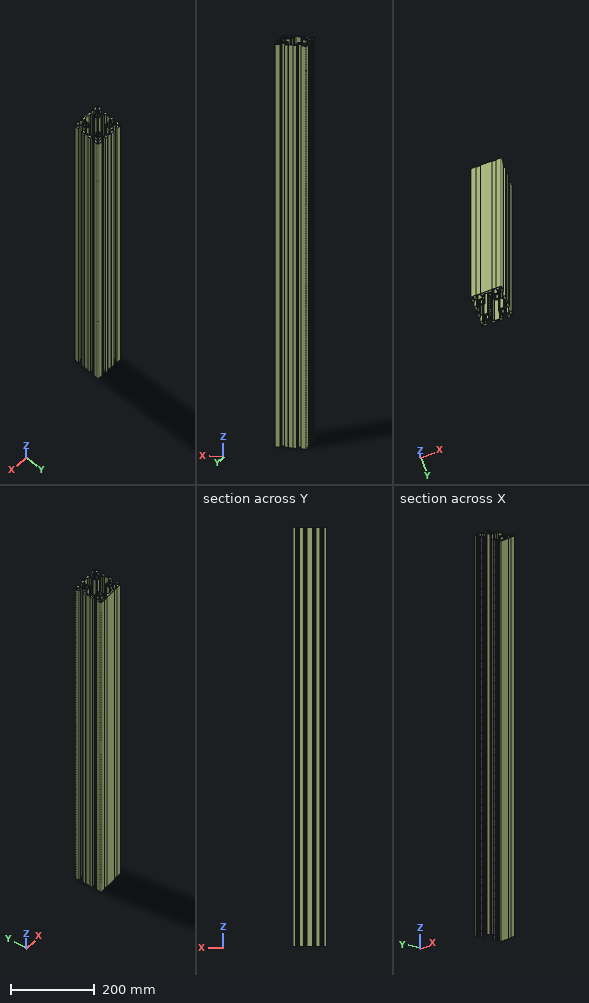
import cadquery as cq
WIDTH = 80.0
LENGTH = 1000.0
HALF = WIDTH / 2
CORNER_RADIUS = 3.0

SLOT_OFFSET = 20.0
SLOT_MOUTH = 11.0
LIP_THICKNESS = 6.2
SLOT_ROOF_WIDTH = 18.8
ROOF_DROP = 0.4
SLOT_INNER_WIDTH = 21.1
SLOT_STRAIGHT_DEPTH = 8.6
SLOT_DEPTH = 12.3
SLOT_FLOOR_WIDTH = 12.4

SKIN_THICKNESS = 1.7

GROOVE_WIDTH = 12.0
GROOVE_FLOOR_WIDTH = 11.3
GROOVE_DEPTH = 1.3

CAVITY_ARM_HALF = 11.9
CAVITY_TAPER_START = 28.3
CAVITY_REACH = 35.4
CAVITY_END_HALF = 6.1
CORE_BEVEL = 2.5

CORE_HOLE_DIAMETER = 10.2
NOTCH_REACH = 7.7
NOTCH_WIDTH = 2.4
NOTCH_ANGLES = (45, 135)
CORNER_CAVITY_OFFSET = 35.2
CORNER_CAVITY_SIZE = 3.5

OPEN_SIDES = (0, 90, 270)
CLOSED_SIDE = 180
ALL_SIDES = (0, 90, 180, 270)


def prism(points):
    """Full-length prism from a closed outline in the XY plane."""
    return cq.Workplane("XY").polyline(points).close().extrude(LENGTH)


def box(x_center, y_center, x_size, y_size):
    """Full-length rectangular bar."""
    return cq.Workplane("XY").center(x_center, y_center).rect(x_size, y_size).extrude(LENGTH)


def turned(shape, angle):
    """Turn a shape about the Z axis."""
    return shape.rotate((0, 0, 0), (0, 0, 1), angle)


def grid(offset):
    """Four points placed symmetrically about both axes."""
    return [(x, y) for x in (-offset, offset) for y in (-offset, offset)]


def slot_chamber(x_center):
    """Wide part of a slot behind the lips, tapering to its floor."""
    roof = SLOT_ROOF_WIDTH / 2
    inner = SLOT_INNER_WIDTH / 2
    floor = SLOT_FLOOR_WIDTH / 2
    return prism([
        (x_center - roof, HALF - LIP_THICKNESS),
        (x_center + roof, HALF - LIP_THICKNESS),
        (x_center + inner, HALF - LIP_THICKNESS - ROOF_DROP),
        (x_center + inner, HALF - SLOT_STRAIGHT_DEPTH),
        (x_center + floor, HALF - SLOT_DEPTH),
        (x_center - floor, HALF - SLOT_DEPTH),
        (x_center - inner, HALF - SLOT_STRAIGHT_DEPTH),
        (x_center - inner, HALF - LIP_THICKNESS - ROOF_DROP),
    ])


def slot(x_center, mouth_start):
    """T-slot whose mouth starts at the given depth below the side."""
    mouth_length = SLOT_DEPTH - mouth_start
    mouth = box(x_center, HALF - mouth_start - mouth_length / 2, SLOT_MOUTH, mouth_length)
    return slot_chamber(x_center).union(mouth)


def groove():
    """Shallow groove along the middle of a side."""
    mouth = GROOVE_WIDTH / 2
    floor = GROOVE_FLOOR_WIDTH / 2
    return prism([
        (-mouth, HALF),
        (mouth, HALF),
        (floor, HALF - GROOVE_DEPTH),
        (-floor, HALF - GROOVE_DEPTH),
    ])


def cavity_arm():
    """One arm of the central cavity, narrowing towards the side wall."""
    return prism([
        (-CAVITY_ARM_HALF, 0),
        (CAVITY_ARM_HALF, 0),
        (CAVITY_ARM_HALF, CAVITY_TAPER_START),
        (CAVITY_END_HALF, CAVITY_REACH),
        (-CAVITY_END_HALF, CAVITY_REACH),
        (-CAVITY_ARM_HALF, CAVITY_TAPER_START),
    ])


def core_bevels():
    """Diamond that bevels the inner corner of each core block."""
    reach = 2 * CAVITY_ARM_HALF + CORE_BEVEL
    return prism([(reach, 0), (0, reach), (-reach, 0), (0, -reach)])


def core_hole(x, y):
    """Round core hole with four diagonal notches."""
    hole = cq.Workplane("XY").circle(CORE_HOLE_DIAMETER / 2).extrude(LENGTH)
    for angle in NOTCH_ANGLES:
        hole = hole.union(turned(box(0, 0, 2 * NOTCH_REACH, NOTCH_WIDTH), angle))
    return hole.translate((x, y, 0))


result = box(0, 0, WIDTH, WIDTH).edges("|Z").fillet(CORNER_RADIUS)

for side in OPEN_SIDES:
    for slot_x in (-SLOT_OFFSET, SLOT_OFFSET):
        result = result.cut(turned(slot(slot_x, 0), side))
    result = result.cut(turned(groove(), side))

for slot_x in (-SLOT_OFFSET, SLOT_OFFSET):
    result = result.cut(turned(slot(slot_x, SKIN_THICKNESS), CLOSED_SIDE))

for side in ALL_SIDES:
    result = result.cut(turned(cavity_arm(), side))
result = result.cut(core_bevels())

for hole_x, hole_y in grid(SLOT_OFFSET):
    result = result.cut(core_hole(hole_x, hole_y))
for cavity_x, cavity_y in grid(CORNER_CAVITY_OFFSET):
    result = result.cut(box(cavity_x, cavity_y, CORNER_CAVITY_SIZE, CORNER_CAVITY_SIZE))